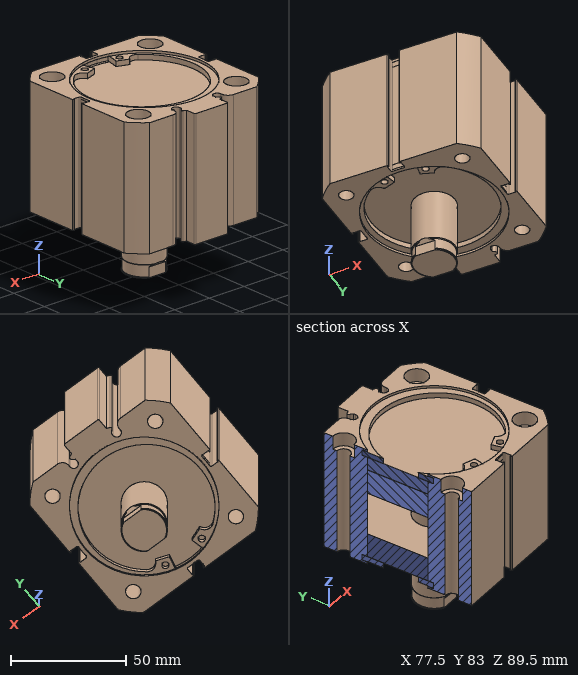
import cadquery as cq
import math


total_height = 89.5
housing_height = 61.5
rod_reach = total_height - housing_height
housing_width = 77.5
total_depth = 83.0
half_width = housing_width / 2
corner_radius = 49.6

bore_radius = 32.4
groove_radius = 33.8
ring_thickness = 2.6
ring_inset = 1.25
cover_inset = ring_inset + ring_thickness

ring_inner_radius = 29.7
ring_inner_offset = 1.6
lug_angle = 20.0
lug_inner_distance = 26.1
lug_gap_side = 2.9
gap_half_angle = 13.6
lug_hole_diameter = 3.1
lug_hole_distance = 29.4
relief_radius = 3.9
relief_angle = 38.0

slot_half_width = 3.3
slot_mouth_half_width = 2.6
slot_lip = 0.8
slot_lip_chamfer_width = 0.5
slot_lip_chamfer_depth = 0.4
slot_floor_fillet = 0.5
slot_floor_wall = 0.3
slot_floor = groove_radius + slot_floor_wall

rail_half_width = 9.6
rail_top = total_depth - half_width
rail_fillet = 0.5
channel_inner_x = 9.85
channel_width = 4.0
channel_bottom = bore_radius
channel_mouth_radius = 3.6
ear_tip_x = 11.55
ear_round_x = 11.1
ear_center_y = 37.4
ear_half_height = 0.7
ear_foot_y = 35.6

mount_spacing = 56.6
mount_hole_diameter = 6.6
counterbore_diameter = 11.0
counterbore_depth = 7.0

rear_cover_thickness = 7.2
front_cover_thickness = 12.5
piston_thickness = 12.5
rod_radius = 10.0
neck_radius = 9.7
neck_length = 6.2
tip_collar_height = 0.6
tip_chamfer = rod_radius - neck_radius
flat_half_distance = 8.4
flat_length = 5.2


def from_minus_y(distance, angle, side):
    """Point at a distance from the axis, turned from -Y towards side * X."""
    turn = math.radians(angle)
    return side * distance * math.sin(turn), -distance * math.cos(turn)


def sensor_slot(turn):
    """Slot with lips at its mouth, cut into the side that faces -Y before turning."""
    outer_y = -half_width
    right = [
        (slot_mouth_half_width + slot_lip_chamfer_width, outer_y),
        (slot_mouth_half_width, outer_y + slot_lip_chamfer_depth),
        (slot_mouth_half_width, outer_y + slot_lip),
        (slot_half_width, outer_y + slot_lip),
        (slot_half_width, -slot_floor - slot_floor_fillet),
        (slot_half_width - slot_floor_fillet, -slot_floor),
    ]
    left = [(-x, y) for x, y in reversed(right)]
    corner = slot_floor_fillet * (1 - math.sqrt(0.5))
    round_x = slot_half_width - corner
    round_y = -slot_floor - corner
    slot = (
        cq.Workplane("XY")
        .polyline(right[:5])
        .threePointArc((round_x, round_y), right[5])
        .lineTo(*left[0])
        .threePointArc((-round_x, round_y), left[1])
    )
    for point in left[2:]:
        slot = slot.lineTo(*point)
    return slot.close().extrude(housing_height).rotate((0, 0, 0), (0, 0, 1), turn)


def rail_channel():
    """Channel on the +X side of the rail, leaving an ear on the rail."""
    floor_radius = channel_width / 2
    outer_x = channel_inner_x + channel_width
    floor_y = channel_bottom + floor_radius
    mouth_x = outer_x + channel_mouth_radius
    mouth_y = half_width - channel_mouth_radius
    diagonal = channel_mouth_radius * math.sqrt(0.5)
    return (
        cq.Workplane("XY")
        .moveTo(rail_half_width, half_width)
        .lineTo(ear_round_x, ear_center_y + ear_half_height)
        .threePointArc((ear_tip_x, ear_center_y), (ear_round_x, ear_center_y - ear_half_height))
        .lineTo(channel_inner_x, ear_foot_y)
        .lineTo(channel_inner_x, floor_y)
        .threePointArc((channel_inner_x + floor_radius, channel_bottom), (outer_x, floor_y))
        .lineTo(outer_x, mouth_y)
        .threePointArc((mouth_x - diagonal, mouth_y + diagonal), (mouth_x, half_width))
        .close()
        .extrude(housing_height)
    )


def cylinder(radius, bottom, height):
    return cq.Workplane("XY").workplane(offset=bottom).circle(radius).extrude(height)


def make_housing():
    body = (
        cq.Workplane("XY")
        .rect(housing_width, housing_width)
        .extrude(housing_height)
        .intersect(cylinder(corner_radius, 0, housing_height))
    )

    channel = rail_channel()
    body = body.cut(channel).cut(channel.mirror("YZ"))
    rail_height = rail_top - half_width
    rail = (
        cq.Workplane("XY")
        .center(0, half_width + rail_height / 2)
        .rect(2 * rail_half_width, rail_height)
        .extrude(housing_height)
        .edges("|Z and >Y")
        .fillet(rail_fillet)
    )
    body = body.union(rail)

    for turn in (0, 90, -90):
        body = body.cut(sensor_slot(turn))

    body = body.cut(cylinder(bore_radius, 0, housing_height))
    for groove_bottom in (ring_inset, housing_height - cover_inset):
        body = body.cut(cylinder(groove_radius, groove_bottom, ring_thickness))

    return (
        body.faces(">Z")
        .workplane(origin=(0, 0, housing_height))
        .rect(mount_spacing, mount_spacing, forConstruction=True)
        .vertices()
        .cboreHole(mount_hole_diameter, counterbore_diameter, counterbore_depth)
    )


def lug_points(side):
    """Corners of one ring end: round start, round middle, outer corner, gap corner, rim corner."""
    tangent_x, tangent_y = from_minus_y(ring_inner_radius, relief_angle, side)
    relief_x, relief_y = from_minus_y(ring_inner_radius - relief_radius, relief_angle, side)
    relief_y -= ring_inner_offset

    along_x, along_y = from_minus_y(1, lug_angle, side)
    across_x, across_y = -side * along_y, side * along_x

    relief_along = relief_x * along_x + relief_y * along_y
    relief_across = relief_x * across_x + relief_y * across_y
    rise = lug_inner_distance - relief_along
    outer_across = relief_across - math.sqrt(relief_radius**2 - rise**2)

    def on_inner_face(across):
        return (
            lug_inner_distance * along_x + across * across_x,
            lug_inner_distance * along_y + across * across_y,
        )

    return (
        (tangent_x, tangent_y - ring_inner_offset),
        (relief_x, relief_y - relief_radius),
        on_inner_face(outer_across),
        on_inner_face(-lug_gap_side),
        from_minus_y(groove_radius, gap_half_angle, side),
    )


def make_retaining_ring(bottom):
    """Open ring with an eccentric inner circle and a lug with a plier hole at each end."""
    left_start, left_middle, left_outer, left_gap, left_rim = lug_points(-1)
    right_start, right_middle, right_outer, right_gap, right_rim = lug_points(1)
    ring = (
        cq.Workplane("XY")
        .workplane(offset=bottom)
        .moveTo(*right_rim)
        .threePointArc((0, groove_radius), left_rim)
        .lineTo(*left_gap)
        .lineTo(*left_outer)
        .threePointArc(left_middle, left_start)
        .threePointArc((0, ring_inner_radius - ring_inner_offset), right_start)
        .threePointArc(right_middle, right_outer)
        .lineTo(*right_gap)
        .close()
        .extrude(ring_thickness)
    )
    plier_holes = (
        cq.Workplane("XY")
        .workplane(offset=bottom)
        .pushPoints([from_minus_y(lug_hole_distance, lug_angle, side) for side in (-1, 1)])
        .circle(lug_hole_diameter / 2)
        .extrude(ring_thickness)
    )
    return ring.cut(plier_holes)


def make_rear_cover():
    top = housing_height - cover_inset
    return cylinder(bore_radius, top - rear_cover_thickness, rear_cover_thickness)


def make_front_cover():
    cover = cylinder(bore_radius, cover_inset, front_cover_thickness)
    return cover.cut(cylinder(rod_radius, cover_inset, front_cover_thickness))


def make_piston_rod():
    """Piston resting on the rear cover, with its rod, necked tip and wrench flats."""
    piston_top = housing_height - cover_inset - rear_cover_thickness
    piston_bottom = piston_top - piston_thickness
    tip = -rod_reach
    neck_top = tip + neck_length
    collar_top = tip + tip_collar_height
    rod = (
        cq.Workplane("XZ")
        .polyline([
            (0, tip),
            (neck_radius, tip),
            (rod_radius, tip + tip_chamfer),
            (rod_radius, collar_top),
            (neck_radius, collar_top),
            (neck_radius, neck_top),
            (rod_radius, neck_top + rod_radius - neck_radius),
            (rod_radius, piston_bottom),
            (bore_radius, piston_bottom),
            (bore_radius, piston_top),
            (0, piston_top),
        ])
        .close()
        .revolve(360, (0, 0, 0), (0, 1, 0))
    )

    flat_top = tip + flat_length
    cut_depth = rod_radius - flat_half_distance
    flat = (
        cq.Workplane("YZ")
        .polyline([
            (flat_half_distance, tip),
            (flat_half_distance, flat_top),
            (rod_radius, flat_top + cut_depth),
            (rod_radius, tip),
        ])
        .close()
        .extrude(rod_radius, both=True)
    )
    return rod.cut(flat).cut(flat.mirror("XZ"))


housing = make_housing()
rear_cover = make_rear_cover()
front_cover = make_front_cover()
piston_rod = make_piston_rod()
retaining_rings = []
for ring_bottom in (ring_inset, housing_height - cover_inset):
    retaining_rings.append(make_retaining_ring(ring_bottom).val())

result = cq.Compound.makeCompound([
    housing.val(),
    rear_cover.val(),
    front_cover.val(),
    piston_rod.val(),
    *retaining_rings,
])